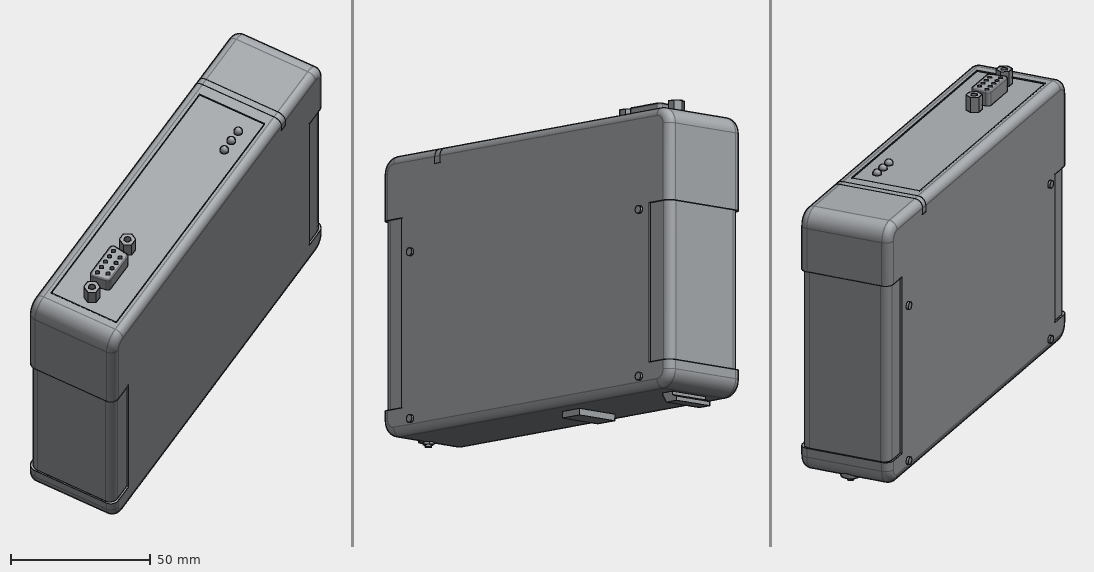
import cadquery as cq


width = 36.0
length = 150.0
height = 102.1
corner_radius = 6.3
edge_radius = 3.1

recess_bottom = 9.7
front_recess_top = 67.8
rear_recess_top = 78.9
recess_length = 10.5
recess_side_depth = 0.7
recess_end_depth = 0.6

panel_width = 27.0
panel_front = -65.7
panel_rear = 40.2
panel_depth = 0.5
panel_z = height - panel_depth

lamp_diameter = 3.1
lamp_base_height = 0.3
lamp_x = 7.0
lamp_count = 3
lamp_pitch = 5.0
first_lamp_y = 32.4

connector_y = -47.1
connector_width = 7.8
connector_long_side = 16.5
connector_short_side = 14.1
connector_top = height + 5.1
connector_corner_radius = 1.3
connector_rim_radius = 0.5
socket_diameter = 1.5
socket_depth = 3.7
socket_pitch = 2.8
socket_row_gap = 3.6
long_row_count = 5
short_row_count = 4
standoff_flats = 5.1
standoff_top = height + 5.4
standoff_spacing = 25.3
standoff_hole_diameter = 2.4
standoff_hole_depth = 4.5

stud_diameter = 2.8
stud_height = 0.9
stud_y = 59.7
stud_heights = (5.1, 65.8)

hook_left = -8.4
hook_right = 8.0
hook_rear = -61.5
hook_neck = -66.6
hook_tip = -68.8
hook_drop = 3.6
hook_slope_top = 0.6
hook_slope_run = 2.0
hook_neck_drop = 1.2
hook_nose_drop = 2.1
block_right = 9.0
block_front = -18.1
block_rear = -9.3
block_drop = 2.4

terminal_y = 69.6
terminal_diameter = 7.2
nut_flats = 3.6
screw_diameter = 2.2
nut_height = 0.9
screw_length = 1.8

bar_front = 44.5
bar_rear = 47.2
bar_depth = 5.7

fuse_overlap = 0.7


def box_between(x0, x1, y0, y1, z0, z1):
    """Box given by its limits along each axis."""
    return cq.Workplane("XY").box(x1 - x0, y1 - y0, z1 - z0, centered=False).translate((x0, y0, z0))


def hexagon_diameter(flats):
    """Corner-to-corner size of a hexagon given across its flats."""
    return flats * 2 / 3**0.5


def rounded_block():
    """Full outer shape before any recess or attachment."""
    block = cq.Workplane("XY").box(width, length, height, centered=(True, True, False))
    return block.edges("|X").fillet(corner_radius).faces("<X or >X").edges().fillet(edge_radius)


def end_recess(end, top):
    """Shallow band around one end (end = 1 at +Y, -1 at -Y), open on the side and end faces."""
    inner = end * (length / 2 - recess_length)
    outer = end * length
    band = box_between(-width, width, min(inner, outer), max(inner, outer), recess_bottom, top)
    core = (
        cq.Workplane("XY")
        .box(width - 2 * recess_side_depth, length - 2 * recess_end_depth, height, centered=(True, True, False))
        .edges("|Z")
        .fillet(edge_radius)
    )
    return band.cut(core)


def top_panel():
    """Recess that holds the lamps and the connector."""
    half = panel_width / 2
    return box_between(-half, half, panel_front, panel_rear, panel_z, height + panel_depth)


def lamp(index):
    """Domed lamp on a short round base, standing on the panel."""
    y = first_lamp_y - index * lamp_pitch
    dome = cq.Workplane("XY").sphere(lamp_diameter / 2).translate((lamp_x, y, panel_z + lamp_base_height))
    base = (
        cq.Workplane("XY", origin=(lamp_x, y, panel_z - fuse_overlap))
        .circle(lamp_diameter / 2)
        .extrude(fuse_overlap + lamp_base_height)
    )
    return base.union(dome)


def connector():
    """D-shaped shell with a long row of sockets at -X and a short row at +X."""
    half_width = connector_width / 2
    half_long = connector_long_side / 2
    half_short = connector_short_side / 2
    base = panel_z - fuse_overlap
    shell = (
        cq.Workplane("XY", origin=(0, connector_y, base))
        .polyline(
            [
                (-half_width, -half_long),
                (half_width, -half_short),
                (half_width, half_short),
                (-half_width, half_long),
            ]
        )
        .close()
        .extrude(connector_top - base)
        .edges("|Z")
        .fillet(connector_corner_radius)
        .faces(">Z")
        .edges()
        .fillet(connector_rim_radius)
    )
    for side, count in ((-1, long_row_count), (1, short_row_count)):
        sockets = (
            cq.Workplane("XY", origin=(side * socket_row_gap / 2, connector_y, connector_top))
            .rarray(1.5, socket_pitch, 1, count)
            .circle(socket_diameter / 2)
            .extrude(-socket_depth)
        )
        shell = shell.cut(sockets)
    return shell


def standoff(side):
    """Hexagonal standoff with a blind hole, before (-1) or behind (1) the connector."""
    base = panel_z - fuse_overlap
    return (
        cq.Workplane("XY", origin=(0, connector_y + side * standoff_spacing / 2, base))
        .transformed(rotate=(0, 0, 90))
        .polygon(6, hexagon_diameter(standoff_flats))
        .extrude(standoff_top - base)
        .faces(">Z")
        .workplane()
        .hole(standoff_hole_diameter, standoff_hole_depth)
    )


def side_stud(y, z):
    """Small round stud standing out from the -X face."""
    stud_base = -width / 2 + fuse_overlap
    return (
        cq.Workplane("YZ", origin=(stud_base, y, z))
        .circle(stud_diameter / 2)
        .extrude(-(stud_height + fuse_overlap))
    )


def rail_hook():
    """Hook under the front end, its nose pointing to -Y."""
    return (
        cq.Workplane("YZ", origin=(hook_left, 0, 0))
        .polyline(
            [
                (hook_rear, fuse_overlap),
                (hook_rear, -hook_slope_top),
                (hook_rear - hook_slope_run, -hook_drop),
                (hook_tip, -hook_drop),
                (hook_tip, -hook_nose_drop),
                (hook_neck, -hook_neck_drop),
                (hook_neck, fuse_overlap),
            ]
        )
        .close()
        .extrude(hook_right - hook_left)
    )


def rail_block():
    """Plain block under the middle of the housing."""
    return box_between(hook_left, block_right, block_front, block_rear, -block_drop, fuse_overlap)


def earth_terminal():
    """Round boss filling in the rear bottom corner, with a hexagonal nut and a screw end under it."""
    base = cq.Workplane("XY", origin=(0, terminal_y, 0))
    boss = base.circle(terminal_diameter / 2).extrude(corner_radius)
    nut = base.polygon(6, hexagon_diameter(nut_flats)).extrude(-nut_height)
    screw = base.circle(screw_diameter / 2).extrude(-screw_length)
    return boss.union(nut).union(screw)


def bar_space():
    """Full-width space that the accent bar fills."""
    return box_between(-width, width, bar_front, bar_rear, height - bar_depth, height + bar_depth)


def build_housing():
    housing = rounded_block().cut(bar_space()).cut(top_panel())
    housing = housing.cut(end_recess(-1, front_recess_top)).cut(end_recess(1, rear_recess_top))
    for index in range(lamp_count):
        housing = housing.union(lamp(index))
    housing = housing.union(connector())
    for side in (-1, 1):
        housing = housing.union(standoff(side))
        for z in stud_heights:
            housing = housing.union(side_stud(side * stud_y, z))
    return housing.union(rail_hook()).union(rail_block()).union(earth_terminal())


def build_accent_bar():
    return rounded_block().intersect(bar_space())


housing = build_housing()
accent_bar = build_accent_bar()

result = cq.Compound.makeCompound([housing.val(), accent_bar.val()])